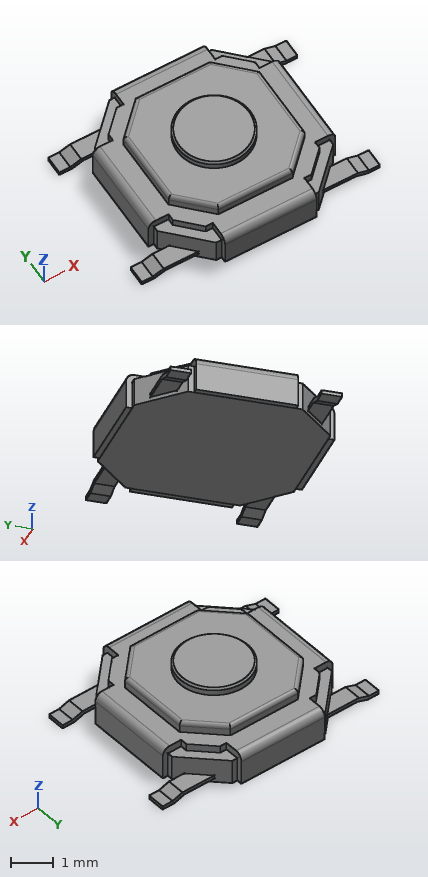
import cadquery as cq


base_height = 0.695
base_flat_length = 2.8

cover_width = 5.1
skirt_width = 2.5
skirt_thickness = 0.15
plate_thickness = 0.2
bend_radius = plate_thickness
plate_width = 4.005
plate_flat_length = 2.885
emboss_width = 3.71
emboss_flat_length = 2.03
emboss_height = 0.3
emboss_radius = 0.105

button_diameter = 2.0
button_rise = 0.2
button_chamfer = 0.05

lead_span = 6.5
lead_pitch = 3.7
lead_width = 0.5
lead_thickness = 0.1
lead_lift = 0.105
foot_length = 0.3
slope_run = 0.3
bend_offset = 0.05

base_width = cover_width - 2 * skirt_thickness
plate_top = base_height + plate_thickness
emboss_top = plate_top + emboss_height
button_top = emboss_top + button_rise


def octagon_prism(width, flat_length, bottom, height):
    """Square prism with chamfered corners, leaving a straight run of flat_length on each side."""
    chamfer = (width - flat_length) / 2
    return (
        cq.Workplane("XY")
        .workplane(offset=bottom)
        .rect(width, width)
        .extrude(height)
        .edges("|Z")
        .chamfer(chamfer)
    )


def make_base_block():
    return octagon_prism(base_width, base_flat_length, 0, base_height)


def make_strap(axis):
    """Flat strap across the whole cover along one axis, rounded where it turns down at its ends."""
    size_x, size_y = (cover_width, skirt_width) if axis == "X" else (skirt_width, cover_width)
    return (
        cq.Workplane("XY")
        .box(size_x, size_y, plate_top, centered=(True, True, False))
        .edges(f">Z and (>{axis} or <{axis})")
        .fillet(bend_radius)
    )


def make_emboss():
    return (
        octagon_prism(emboss_width, emboss_flat_length, plate_top, emboss_height)
        .faces(">Z")
        .edges()
        .fillet(emboss_radius)
    )


def make_button():
    """Round button that passes through the cover and rests on the base."""
    return (
        cq.Workplane("XY")
        .workplane(offset=base_height)
        .circle(button_diameter / 2)
        .extrude(button_top - base_height)
        .faces(">Z")
        .edges()
        .chamfer(button_chamfer)
    )


def make_cover(base_block, button):
    """Top plate with a raised emboss, four skirts and a hole for the button."""
    plate = octagon_prism(plate_width, plate_flat_length, base_height, plate_thickness)
    skirts = make_strap("X").union(make_strap("Y")).cut(base_block)
    return skirts.union(plate).union(make_emboss()).cut(button)


def make_lead(side_x, side_y):
    """Bent strip lead whose inner end is embedded in a corner of the base."""
    tip = lead_span / 2
    foot_end = tip - foot_length
    slope_end = foot_end - slope_run
    inner_end = base_flat_length / 2
    profile = [
        (tip, 0),
        (tip, lead_thickness),
        (foot_end, lead_thickness),
        (slope_end, lead_lift + lead_thickness),
        (inner_end, lead_lift + lead_thickness),
        (inner_end, lead_lift),
        (slope_end - bend_offset, lead_lift),
        (foot_end - bend_offset, 0),
    ]
    return (
        cq.Workplane("XZ")
        .polyline([(side_x * x, z) for x, z in profile])
        .close()
        .extrude(lead_width / 2, both=True)
        .translate((0, side_y * lead_pitch / 2, 0))
    )


base_block = make_base_block()
button = make_button()
cover = make_cover(base_block, button)
leads = [make_lead(side_x, side_y) for side_x in (-1, 1) for side_y in (-1, 1)]

base = base_block
for lead in leads:
    base = base.cut(lead)

result = cq.Compound.makeCompound(
    [base.solids().val(), cover.solids().val(), button.val(), *[lead.val() for lead in leads]]
)